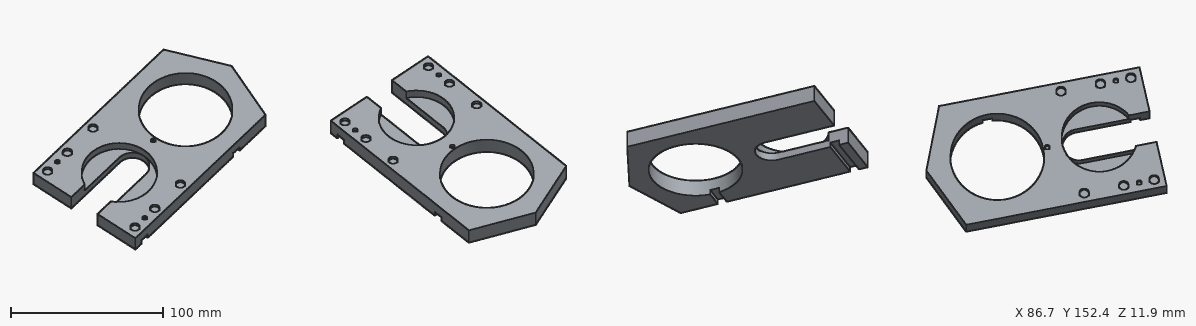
import cadquery as cq

width = 86.7
length = 152.4
thickness = 11.9
shoulder_y = 134.7

bore_diameter = 61.7
bore_y = 104.7

recess_diameter = 49.7
recess_y = 36.1
recess_depth = 6.2
slot_width = 22.3
slot_end_y = recess_y + recess_diameter / 2

large_hole_diameter = 6.4
small_hole_diameter = 3.2
hole_depth = 2.1
hole_x = 37.2
large_hole_ys = (7.2, 27.6, 54.1)
small_hole_y = 17.2
center_hole_y = 71.2

groove_width = 6.4
groove_depth = 3.5
groove_ys = (9.6, bore_y)


def make_plate():
    outline = [
        (-width / 2, 0),
        (width / 2, 0),
        (width / 2, shoulder_y),
        (0, length),
        (-width / 2, shoulder_y),
    ]
    return cq.Workplane("XY").polyline(outline).close().extrude(thickness)


def make_slot():
    end_radius = slot_width / 2
    straight_end_y = slot_end_y - end_radius
    return (
        cq.Workplane("XY")
        .moveTo(-end_radius, 0)
        .lineTo(end_radius, 0)
        .lineTo(end_radius, straight_end_y)
        .threePointArc((0, slot_end_y), (-end_radius, straight_end_y))
        .close()
        .extrude(thickness)
    )


def cut_from_top(points, diameter, depth):
    return (
        cq.Workplane("XY", origin=(0, 0, thickness))
        .pushPoints(points)
        .circle(diameter / 2)
        .extrude(-depth)
    )


def make_groove(center_y):
    return cq.Workplane("XY").box(
        width / 2, groove_width, groove_depth, centered=(False, True, False)
    ).translate((0, center_y, 0))


large_holes = [(side * hole_x, y) for side in (-1, 1) for y in large_hole_ys]
small_holes = [(side * hole_x, small_hole_y) for side in (-1, 1)]
small_holes.append((0, center_hole_y))

result = (
    make_plate()
    .cut(make_slot())
    .cut(cut_from_top([(0, bore_y)], bore_diameter, thickness))
    .cut(cut_from_top([(0, recess_y)], recess_diameter, recess_depth))
    .cut(cut_from_top(large_holes, large_hole_diameter, hole_depth))
    .cut(cut_from_top(small_holes, small_hole_diameter, hole_depth))
)

for groove_y in groove_ys:
    result = result.cut(make_groove(groove_y))